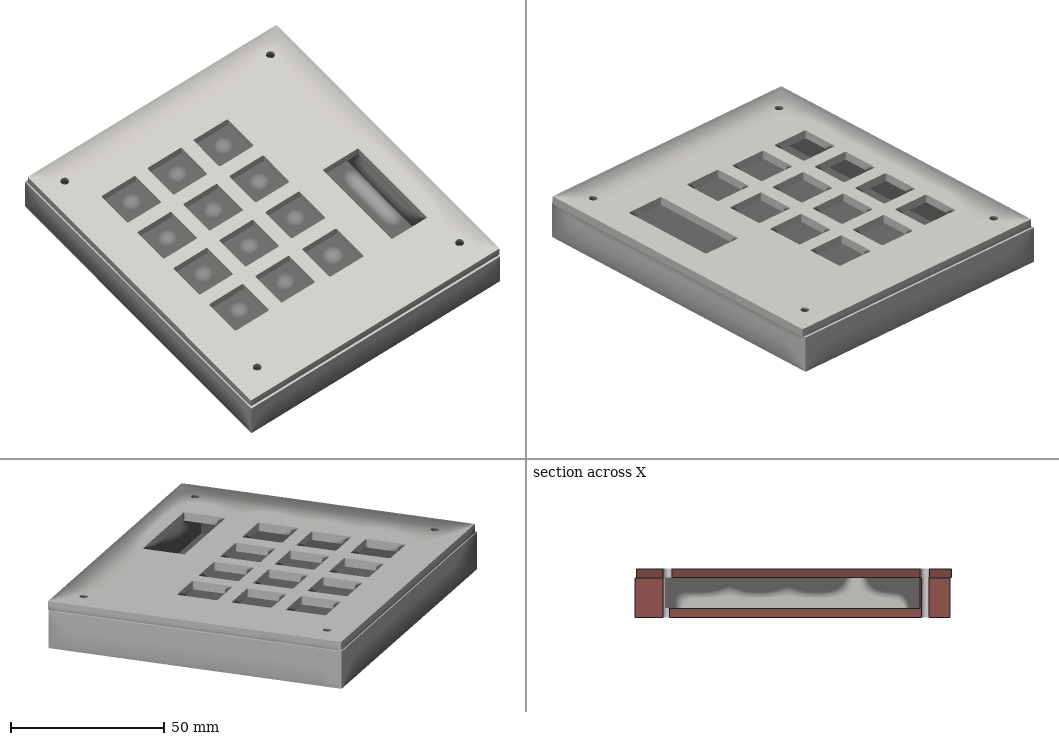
import cadquery as cq

overall_depth = 103.5
overall_height = 16.0

base_width = 120.0
base_depth = 103.0
wall = 10.0
floor_thickness = 3.0
base_hole_diameter = 2.8

lid_width = 118.3
lid_depth = base_depth
lid_thickness = 3.0
lid_hole_diameter = 2.9

key_columns = 4
key_rows = 3
key_row_length = 57.1
key_size = 14.0
first_key_x = -31.0
first_key_y = -30.4
key_corner_radius = 0.5
corner_key_width = 14.8
corner_key_right = 34.5
top_key_depth = 14.2

display_right = 34.5
display_width = 36.6
display_top = 41.0
display_depth = 14.6

lid_holes = [(-50.5, 42.5), (49.2, 43.0), (-50.3, -42.8), (49.5, -41.0)]
base_holes = [(-50.0, 43.3), (50.0, 43.1), (-49.9, -41.8), (50.2, -41.4)]

key_pitch = key_row_length / (key_columns - 1)
base_height = overall_height - lid_thickness
base_y = -(overall_depth - base_depth) / 2
lid_y = (overall_depth - lid_depth) / 2


def block(width, depth, height, x, y, z):
    """Box centred on (x, y) with its underside at z."""
    return cq.Workplane("XY").box(width, depth, height, centered=(True, True, False)).translate((x, y, z))


def drill(body, places, diameter):
    """Cut vertical holes right through a body."""
    drills = cq.Workplane("XY").pushPoints(places).circle(diameter / 2).extrude(overall_height)
    return body.cut(drills)


def make_base():
    """Tray with an open top and four screw holes from top to bottom."""
    outside = block(base_width, base_depth, base_height, 0, base_y, 0)
    cavity_width = base_width - 2 * wall
    cavity_depth = base_depth - 2 * wall
    cavity_height = base_height - floor_thickness
    cavity = block(cavity_width, cavity_depth, cavity_height, 0, base_y, floor_thickness)
    return drill(outside.cut(cavity), base_holes, base_hole_diameter)


def key_window(column, row):
    """Cutter for one key; the top row is deeper and its last window wider."""
    width = key_size
    depth = key_size
    x = first_key_x + column * key_pitch
    y = first_key_y + row * key_pitch
    if row == key_rows - 1:
        y += (top_key_depth - key_size) / 2
        depth = top_key_depth
        if column == key_columns - 1:
            width = corner_key_width
            x = corner_key_right - corner_key_width / 2
    return block(width, depth, lid_thickness, x, y, base_height).edges("|Z").fillet(key_corner_radius)


def make_lid():
    """Flat plate with key windows, a display window and screw holes."""
    lid = block(lid_width, lid_depth, lid_thickness, 0, lid_y, base_height)
    for column in range(key_columns):
        for row in range(key_rows):
            lid = lid.cut(key_window(column, row))
    display_x = display_right - display_width / 2
    display_y = display_top - display_depth / 2
    display_window = block(display_width, display_depth, lid_thickness, display_x, display_y, base_height)
    return drill(lid.cut(display_window), lid_holes, lid_hole_diameter)


base = make_base()
lid = make_lid()
result = cq.Compound.makeCompound([base.val(), lid.val()])